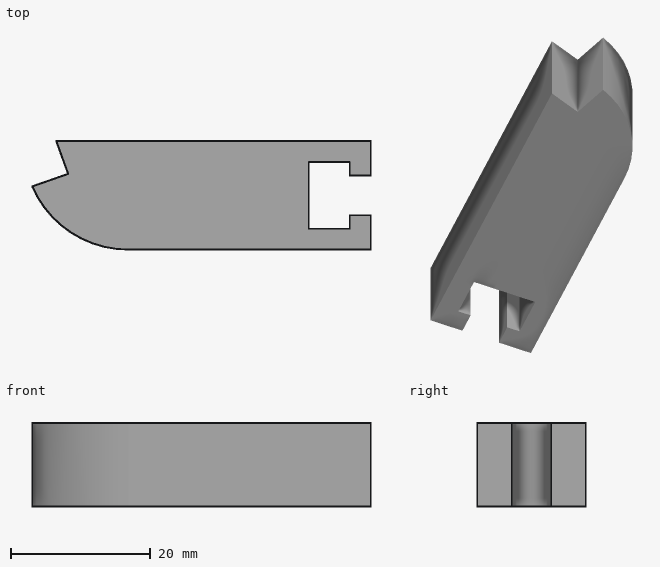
import cadquery as cq
import math

length = 48.55
width = 15.6
height = 12.0

nose_tangent_x = 13.8
nose_tip_y = 9.1
nose_radius = (nose_tangent_x**2 + nose_tip_y**2) / (2 * nose_tip_y)

notch_root_x = 5.15
notch_root_y = 10.9
back_corner_x = 3.45

slot_depth = 8.9
slot_width = 9.5
lip_thickness = 3.05
mouth_width = 5.7


def nose_midpoint():
    """Return the point halfway along the nose arc."""
    sweep = math.atan2(nose_tangent_x, nose_radius - nose_tip_y)
    return (
        nose_tangent_x - nose_radius * math.sin(sweep / 2),
        nose_radius * (1 - math.cos(sweep / 2)),
    )


def make_body():
    return (
        cq.Workplane("XY")
        .moveTo(nose_tangent_x, 0)
        .lineTo(length, 0)
        .lineTo(length, width)
        .lineTo(back_corner_x, width)
        .lineTo(notch_root_x, notch_root_y)
        .lineTo(0, nose_tip_y)
        .threePointArc(nose_midpoint(), (nose_tangent_x, 0))
        .close()
        .extrude(height)
    )


def make_slot():
    chamber_length = slot_depth - lip_thickness
    slot_start = cq.Workplane("XY").center(length - slot_depth, width / 2)
    chamber = slot_start.box(chamber_length, slot_width, height, centered=(False, True, False))
    mouth = slot_start.box(slot_depth, mouth_width, height, centered=(False, True, False))
    return chamber.union(mouth)


result = make_body().cut(make_slot())